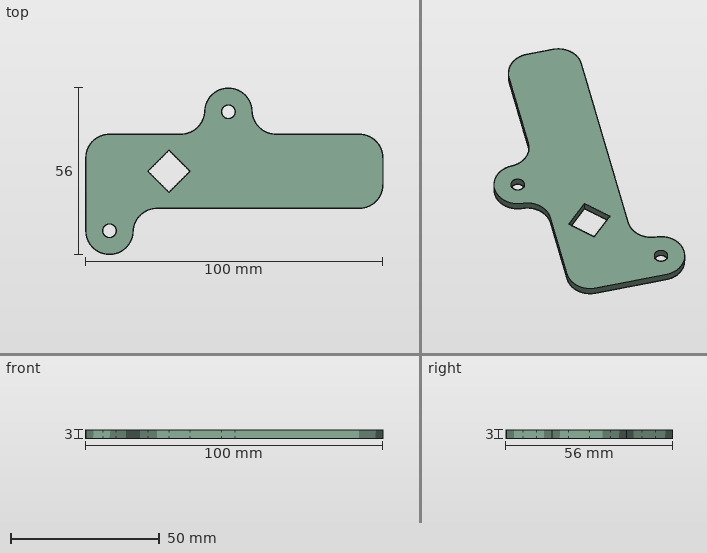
import cadquery as cq
import math

length = 100.0
thickness = 3.0
corner_radius = 8.0

hole_diameter = 4.5
hole_spacing = 40.0
lower_hole = (corner_radius, corner_radius)
upper_hole = (lower_hole[0] + hole_spacing, lower_hole[1] + hole_spacing)

square_side = 10.0
square_center = (
    (lower_hole[0] + upper_hole[0]) / 2,
    (lower_hole[1] + upper_hole[1]) / 2,
)

bar_width = 25.0
bar_bottom = square_center[1] - bar_width / 2
bar_top = square_center[1] + bar_width / 2

blend_rise = bar_top + corner_radius - upper_hole[1]
blend_run = math.sqrt((2 * corner_radius) ** 2 - blend_rise**2)
upper_tangent_y = upper_hole[1] + blend_rise / 2
lower_tangent_y = lower_hole[1] - blend_rise / 2


def plate():
    """Bar with an upper lug and a lower left lug, traced clockwise."""
    r = corner_radius
    lower_x = lower_hole[0]
    upper_x = upper_hole[0]
    outline = (
        cq.Workplane("XY")
        .moveTo(r, bar_top)
        .lineTo(upper_x - blend_run, bar_top)
        .tangentArcPoint((upper_x - blend_run / 2, upper_tangent_y), relative=False)
        .tangentArcPoint((upper_x + blend_run / 2, upper_tangent_y), relative=False)
        .tangentArcPoint((upper_x + blend_run, bar_top), relative=False)
        .lineTo(length - r, bar_top)
        .tangentArcPoint((length, bar_top - r), relative=False)
        .lineTo(length, bar_bottom + r)
        .tangentArcPoint((length - r, bar_bottom), relative=False)
        .lineTo(lower_x + blend_run, bar_bottom)
        .tangentArcPoint((lower_x + blend_run / 2, lower_tangent_y), relative=False)
        .tangentArcPoint((0, lower_hole[1]), relative=False)
        .lineTo(0, bar_top - r)
        .tangentArcPoint((r, bar_top), relative=False)
        .close()
    )
    return outline.extrude(thickness)


def mounting_holes():
    holes = cq.Workplane("XY").pushPoints([lower_hole, upper_hole])
    return holes.circle(hole_diameter / 2).extrude(thickness)


def square_hole():
    square = cq.Workplane("XY").rect(square_side, square_side).extrude(thickness)
    return square.rotate((0, 0, 0), (0, 0, 1), 45).translate((*square_center, 0))


result = plate().cut(mounting_holes()).cut(square_hole())